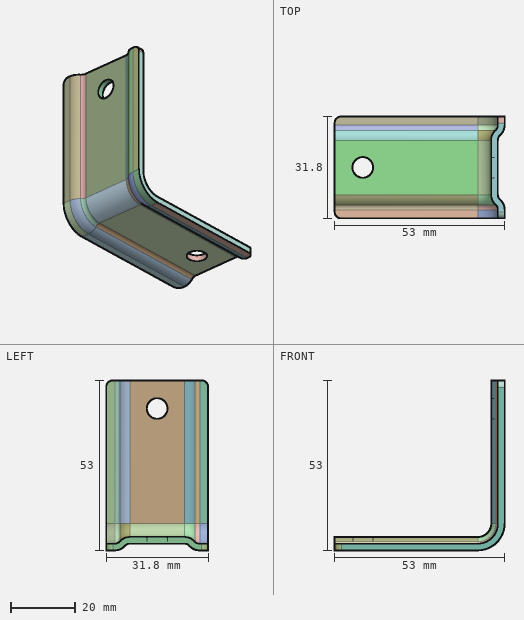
import cadquery as cq
import math

leg_length = 53.04
width = 31.82
thickness = 2.1213
rib_height = thickness
rib_top_width = 8 * thickness
tight_radius = thickness
wide_radius = tight_radius + thickness
bend_outer_radius = 4 * thickness
corner_radius = thickness
hole_diameter = 3 * thickness
hole_end_distance = 8.8

step_angle = math.acos(1 - rib_height / (tight_radius + wide_radius))
tight_run = tight_radius * math.sin(step_angle)
wide_run = wide_radius * math.sin(step_angle)

half_width = width / 2
half_rib = rib_top_width / 2
flange_edge = half_rib + wide_run + tight_run
straight_length = leg_length - bend_outer_radius


def arc_point(center, radius, angle):
    """Point on a circle, with the angle measured from the local vertical axis."""
    return (center[0] + radius * math.sin(angle), center[1] + radius * math.cos(angle))


def section(x):
    """Hat-shaped sheet cross-section in the YZ plane at the given X."""
    rib_center = (half_rib, thickness + rib_height - wide_radius)
    foot_center = (flange_edge, thickness + tight_radius)
    foot_middle = math.pi + step_angle / 2
    foot_end = math.pi + step_angle

    def mirrored(point):
        return (-point[0], point[1])

    def right_surface(rib_radius, foot_radius):
        """Points of one sheet face from the rib flat out to the flange flat."""
        return [
            arc_point(rib_center, rib_radius, 0),
            arc_point(rib_center, rib_radius, step_angle / 2),
            arc_point(foot_center, foot_radius, foot_end),
            arc_point(foot_center, foot_radius, foot_middle),
            arc_point(foot_center, foot_radius, math.pi),
        ]

    def draw_outward(sketch, points):
        sketch = sketch.lineTo(*points[0])
        sketch = sketch.threePointArc(points[1], points[2])
        return sketch.threePointArc(points[3], points[4])

    def draw_inward(sketch, points):
        sketch = sketch.lineTo(*points[4])
        sketch = sketch.threePointArc(points[3], points[2])
        return sketch.threePointArc(points[1], points[0])

    upper = right_surface(wide_radius, tight_radius)
    lower = right_surface(tight_radius, wide_radius)
    sketch = cq.Workplane("YZ", origin=(x, 0, 0)).moveTo(-half_width, thickness)
    sketch = draw_inward(sketch, [mirrored(p) for p in upper])
    sketch = draw_outward(sketch, upper)
    sketch = sketch.lineTo(half_width, thickness).lineTo(half_width, 0)
    sketch = draw_inward(sketch, lower)
    sketch = draw_outward(sketch, [mirrored(p) for p in lower])
    return sketch.lineTo(-half_width, 0).close()


def horizontal_leg():
    """Straight leg along -X with rounded free corners and a mounting hole."""
    leg = section(-bend_outer_radius).extrude(-straight_length)
    leg = leg.faces("<X").edges("|Z").edges("<Y or >Y").fillet(corner_radius)
    hole = (
        cq.Workplane("XY")
        .center(hole_end_distance - leg_length, 0)
        .circle(hole_diameter / 2)
        .extrude(thickness + rib_height)
    )
    return leg.cut(hole)


def bend():
    """Quarter-turn of the section about the inner bend axis."""
    axis_start = (0, bend_outer_radius)
    axis_end = (-1, bend_outer_radius)
    return section(-bend_outer_radius).revolve(90, axis_start, axis_end)


base_leg = horizontal_leg()
upright_leg = base_leg.rotate((0, 0, 0), (-1, 0, 1), 180)

result = base_leg.union(bend()).union(upright_leg)